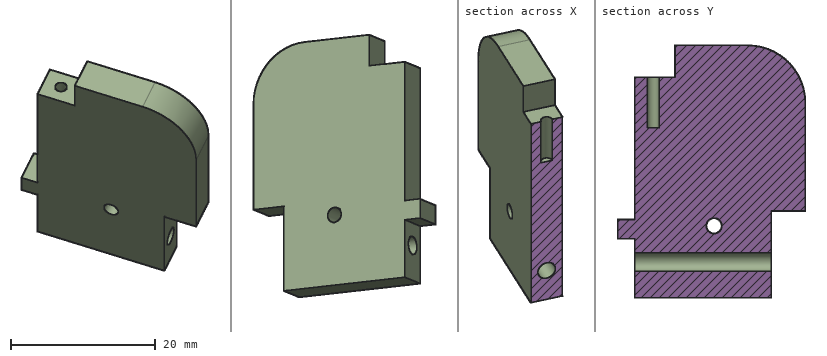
import cadquery as cq

thickness = 4.7
height = 34.95
overall_width = 26.0
tab_length = 2.38
tab_bottom = 8.15
tab_top = 10.87
right_edge = overall_width - tab_length
foot_width = 18.9
foot_height = 12.0
shoulder_width = 5.55
shoulder_height = 30.55

corner_radius = 8.0

pivot_diameter = 2.1
pivot_x = 10.97
pivot_z = 9.95
cross_diameter = 2.5
cross_z = 4.95
shoulder_hole_diameter = 1.6
shoulder_hole_x = 2.6
shoulder_hole_depth = 7.0
mid_y = thickness / 2


def make_plate():
    """Extrude the stepped outline, with its side tab, through the thickness."""
    return (
        cq.Workplane("XZ")
        .moveTo(0, 0)
        .lineTo(foot_width, 0)
        .lineTo(foot_width, foot_height)
        .lineTo(right_edge, foot_height)
        .lineTo(right_edge, height)
        .lineTo(shoulder_width, height)
        .lineTo(shoulder_width, shoulder_height)
        .lineTo(0, shoulder_height)
        .lineTo(0, tab_top)
        .lineTo(-tab_length, tab_top)
        .lineTo(-tab_length, tab_bottom)
        .lineTo(0, tab_bottom)
        .close()
        .extrude(-thickness)
        .faces(">X")
        .edges(">Z")
        .fillet(corner_radius)
    )


def make_hole(diameter, length, start, direction):
    """Return a cylinder that cuts a round hole from start along direction."""
    return cq.Solid.makeCylinder(diameter / 2, length, cq.Vector(*start), cq.Vector(*direction))


pivot_hole = make_hole(pivot_diameter, thickness, (pivot_x, 0, pivot_z), (0, 1, 0))
cross_hole = make_hole(cross_diameter, foot_width, (0, mid_y, cross_z), (1, 0, 0))
shoulder_hole = make_hole(
    shoulder_hole_diameter, shoulder_hole_depth, (shoulder_hole_x, mid_y, shoulder_height), (0, 0, -1)
)

result = make_plate().cut(pivot_hole).cut(cross_hole).cut(shoulder_hole)